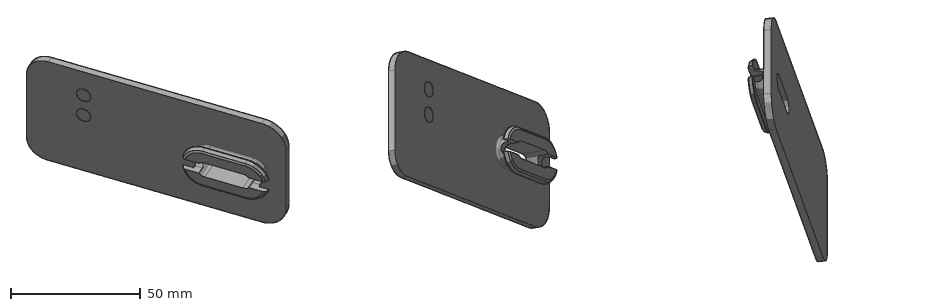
import cadquery as cq

plate_length = 110.0
plate_height = 50.0
plate_thickness = 3.0
top_left_radius = 9.4
bottom_left_radius = 8.7
right_radius = 10.2

button_x = 32.0
button_projection = 7.5
button_arc_spacing = 18.0
neck_base_radius = 5.5
neck_top_radius = 5.4
neck_fillet = 1.0
neck_flare_height = 1.0
neck_flare_width = 0.4

flange_radius = 9.5
flange_thickness = 2.2
flange_rim = 0.3
flange_bevel_inset = 0.7
flange_edge_drop = 0.4
flange_edge_inset = 0.9

bore_width = 7.0
bore_length = 23.2

channel_width = 5.0
channel_floor = 2.0
channel_corner_radius = 2.0

mark_x = -30.8
mark_heights = (3.1, 13.2)
mark_diameter = 6.0
mark_depth = 0.1


def make_plate():
    blank = cq.Workplane("XY").box(plate_length, plate_thickness, plate_height)
    blank = blank.translate((0, plate_thickness / 2, 0))
    blank = blank.edges("|Y and >X").fillet(right_radius)
    blank = blank.edges("|Y and <X and >Z").fillet(top_left_radius)
    return blank.edges("|Y and <X and <Z").fillet(bottom_left_radius)


def button_profile(plane):
    """Half section of the button: local X is the radius, local Y the distance from the plate."""
    flange_base = button_projection - flange_thickness
    bevel_radius = flange_radius - flange_bevel_inset
    flare_radius = (neck_flare_height**2 + neck_flare_width**2) / (2 * neck_flare_width)
    face_radius = bevel_radius - flange_edge_inset
    return (
        plane.moveTo(0, 0)
        .lineTo(neck_base_radius + neck_fillet, 0)
        .radiusArc((neck_base_radius, neck_fillet), neck_fillet)
        .lineTo(neck_top_radius, flange_base - neck_flare_height)
        .radiusArc((neck_top_radius + neck_flare_width, flange_base), flare_radius)
        .lineTo(flange_radius, flange_base)
        .lineTo(flange_radius, flange_base + flange_rim)
        .lineTo(bevel_radius, button_projection - flange_edge_drop)
        .lineTo(face_radius, button_projection)
        .lineTo(0, button_projection)
        .close()
    )


def section_plane(x, sideways):
    """Plane at the given X whose local X axis is sideways and whose local Y axis points away from the plate."""
    outward = cq.Vector(0, -1, 0)
    return cq.Workplane(cq.Plane(origin=(x, 0, 0), xDir=sideways, normal=sideways.cross(outward)))


def make_button():
    half_spacing = button_arc_spacing / 2
    left_x = button_x - half_spacing
    right_x = button_x + half_spacing
    button = None
    for x in (left_x, right_x):
        end = button_profile(section_plane(x, cq.Vector(1, 0, 0))).revolve(360, (0, 0, 0), (0, 1, 0))
        button = end if button is None else button.union(end)
    upper = button_profile(section_plane(left_x, cq.Vector(0, 0, 1))).extrude(button_arc_spacing)
    lower = upper.mirror("XY")
    return button.union(upper.union(lower))


def make_bore():
    reach = button_projection + plate_thickness
    return (
        cq.Workplane("XZ")
        .center(button_x, 0)
        .slot2D(bore_length, bore_width)
        .extrude(reach, both=True)
    )


def make_channel():
    length = 2 * (button_arc_spacing + flange_radius)
    depth = button_projection - channel_floor
    channel = cq.Workplane("XY").box(length, depth, channel_width)
    channel = channel.edges("|X and >Y").fillet(channel_corner_radius)
    return channel.translate((button_x, -channel_floor - depth / 2, 0))


def make_marks():
    return (
        cq.Workplane("XZ")
        .pushPoints([(mark_x, z) for z in mark_heights])
        .circle(mark_diameter / 2)
        .extrude(-mark_depth)
    )


slotted_button = make_button().cut(make_channel())
result = make_plate().union(slotted_button).cut(make_bore()).cut(make_marks())